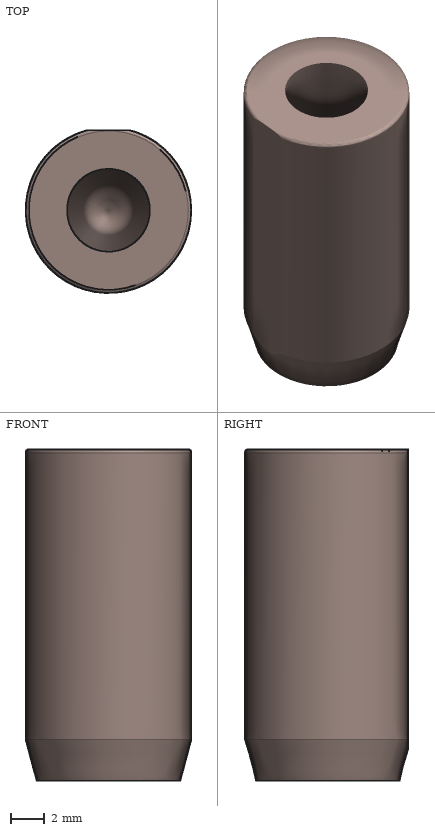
import cadquery as cq
import math

length = 20.0
diameter = 10.0
radius = diameter / 2
flat_distance = 4.85

taper_height = 2.5
taper_angle = 15.0
taper_end_radius = radius - taper_height * math.tan(math.radians(taper_angle))

rim_radius = 0.2

hole_radius = diameter / 4
hole_depth = 12.0
drill_point_angle = 118.0
drill_point_depth = hole_radius / math.tan(math.radians(drill_point_angle / 2))


def make_body():
    """Revolved pin, tapered at the bottom and rounded at the top rim."""
    body = (
        cq.Workplane("XZ")
        .moveTo(0, 0)
        .lineTo(taper_end_radius, 0)
        .lineTo(radius, taper_height)
        .lineTo(radius, length - rim_radius)
        .radiusArc((radius - rim_radius, length), -rim_radius)
        .lineTo(0, length)
        .close()
        .revolve(360, (0, 0, 0), (0, 1, 0))
    )
    return body


def make_hole():
    """Hole from the top face, ending in a cone."""
    hole_floor = length - hole_depth
    return (
        cq.Workplane("XZ")
        .moveTo(0, length)
        .lineTo(hole_radius, length)
        .lineTo(hole_radius, hole_floor)
        .lineTo(0, hole_floor - drill_point_depth)
        .close()
        .revolve(360, (0, 0, 0), (0, 1, 0))
    )


def make_flat_cutter():
    """Block that removes everything beyond the flat."""
    return cq.Workplane("XY").box(
        diameter, diameter, length, centered=(True, False, False)
    ).translate((0, flat_distance, 0))


result = make_body().cut(make_hole()).cut(make_flat_cutter())